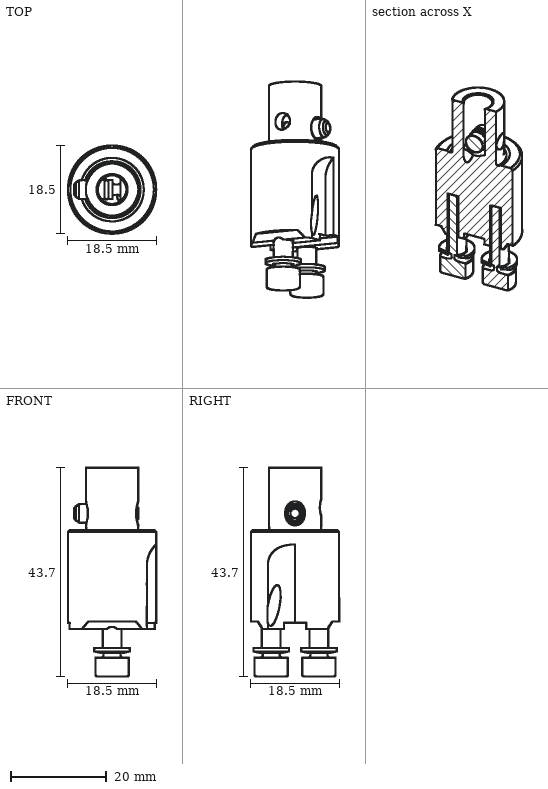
import cadquery as cq
import math


housing_radius = 18.5 / 2
housing_height = 20.8
housing_chamfer = 0.5
stem_radius = 11.0 / 2
stem_height = 13.0

undercut_radius = 5.44
undercut_top = 0.7
undercut_taper_height = 0.2
undercut_depth = 0.25
undercut_floor_radius = 5.95
undercut_rim_radius = 6.65
undercut_fillet = undercut_floor_radius - undercut_radius

bore_radius = 3.0
bore_chamfer = 0.25
drill_point_angle = 118.0
drill_point_depth = bore_radius / math.tan(math.radians(drill_point_angle / 2))

pin_radius = 2.0
pin_z = 3.45
pin_hole_chamfer = 0.5
bore_floor_z = pin_z - pin_radius
side_hole_radius = 1.75
side_hole_z = 4.65

pocket_flat_x = 7.28
pocket_runout_radius = 6.0
pocket_runout_z = -7.5

channel_radius = 1.22
channel_angle = 148.5
channel_lean = 19.2
channel_start_z = -15.85
channel_start_radius = pocket_flat_x / abs(math.cos(math.radians(channel_angle)))
channel_reach_radius = 2.2
channel_overrun = 6.0

slot_width = 4.6
slot_depth = 1.35
relief_depth = 1.6
relief_inner_y = 6.8
relief_outer_y = 7.8

screw_spacing = 10.0
screw_radius = 2.0
screw_clearance = 0.12
screw_hole_radius = screw_radius + screw_clearance
screw_length = 16.0
neck_radius = 1.8
neck_fillet = 0.4
head_radius = 3.5
head_height = 4.0
head_top_edge = 0.1
head_bottom_edge = 0.4
head_top_z = -26.7
screw_end_z = head_top_z + screw_length

washer_top_z = -24.72
washer_outer_radius = 3.75
washer_inner_radius = 2.15
washer_thickness = 0.72
washer_dish = 0.36
neck_top_z = washer_top_z - washer_thickness

pin_left_x = -7.95
pin_right_x = 5.55
tip_flat_radius = 1.0
tip_round_radius = 1.5
tip_round_length = 0.4
tip_cone_radius = 1.92
tip_cone_length = 1.05
tip_length = 1.35
waist_left_x = 0.07
waist_right_x = 1.75
waist_radius = 1.12
waist_fillet = 0.4
ring_x = -1.15
ring_wire_radius = 0.42
ring_center_radius = 1.62
ring_groove_half_width = ring_wire_radius
ring_groove_radius = ring_center_radius - ring_wire_radius

screw_positions = [(0, side * screw_spacing / 2) for side in (-1, 1)]


def turned_about_z(profile):
    """Revolve a profile whose points are (radius, z)."""
    return profile.close().revolve(360, (0, 0, 0), (0, 1, 0))


def turned_about_pin(profile):
    """Revolve a profile whose points are (x, radius) about the pin axis."""
    return profile.close().revolve(360, (0, 0, 0), (1, 0, 0)).translate((0, 0, pin_z))


def holder_blank():
    profile = (
        cq.Workplane("XZ")
        .moveTo(0, -housing_height)
        .lineTo(housing_radius, -housing_height)
        .lineTo(housing_radius, -housing_chamfer)
        .lineTo(housing_radius - housing_chamfer, 0)
        .lineTo(undercut_rim_radius, 0)
        .lineTo(undercut_floor_radius, -undercut_depth)
        .radiusArc((undercut_radius, undercut_fillet - undercut_depth), undercut_fillet)
        .lineTo(undercut_radius, undercut_top - undercut_taper_height)
        .lineTo(stem_radius, undercut_top)
        .lineTo(stem_radius, stem_height)
        .lineTo(0, stem_height)
    )
    return turned_about_z(profile)


def bore():
    profile = (
        cq.Workplane("XZ")
        .moveTo(0, bore_floor_z - drill_point_depth)
        .lineTo(bore_radius, bore_floor_z)
        .lineTo(bore_radius, stem_height - bore_chamfer)
        .lineTo(bore_radius + bore_chamfer, stem_height)
        .lineTo(0, stem_height)
    )
    return turned_about_z(profile)


def pin_hole():
    """Through hole along X, countersunk where it leaves the stem on both sides."""
    wide_radius = pin_radius + 2 * pin_hole_chamfer
    wide_x = stem_radius + pin_hole_chamfer
    narrow_x = stem_radius - pin_hole_chamfer
    profile = (
        cq.Workplane("XY")
        .moveTo(-wide_x, 0)
        .lineTo(-wide_x, wide_radius)
        .lineTo(-narrow_x, pin_radius)
        .lineTo(narrow_x, pin_radius)
        .lineTo(wide_x, wide_radius)
        .lineTo(wide_x, 0)
    )
    return turned_about_pin(profile)


def side_hole():
    """Radial hole through the +Y wall of the stem into the bore."""
    return (
        cq.Workplane("XZ", origin=(0, 0, side_hole_z))
        .circle(side_hole_radius)
        .extrude(-housing_radius)
    )


def side_pocket():
    """Pocket on the +X side, covering only the -Y half, with a round run-out at its top."""
    outer_x = pocket_flat_x + pocket_runout_radius
    return (
        cq.Workplane("XZ")
        .moveTo(pocket_flat_x, -housing_height)
        .lineTo(pocket_flat_x, pocket_runout_z)
        .radiusArc((outer_x, pocket_runout_z + pocket_runout_radius), pocket_runout_radius)
        .lineTo(outer_x, -housing_height)
        .close()
        .extrude(housing_radius)
    )


def channel():
    """Inclined channel that enters at the +X pocket flat and climbs toward the Z axis."""
    lean = math.radians(channel_lean)
    heading = math.radians(channel_angle + 180)
    direction = cq.Vector(
        -math.sin(lean) * math.cos(heading),
        -math.sin(lean) * math.sin(heading),
        math.cos(lean),
    )
    entry = cq.Vector(
        channel_start_radius * math.cos(heading),
        channel_start_radius * math.sin(heading),
        channel_start_z,
    )
    length = (channel_start_radius - channel_reach_radius) / math.sin(lean)
    return cq.Workplane(
        cq.Solid.makeCylinder(
            channel_radius,
            length + channel_overrun,
            entry - direction * channel_overrun,
            direction,
        )
    )


def bottom_slot():
    return (
        cq.Workplane("XY")
        .workplane(offset=-housing_height)
        .rect(2 * housing_radius, slot_width)
        .extrude(slot_depth)
    )


def edge_relief():
    """Step with a sloped wall along the -Y edge of the bottom face."""
    step_z = relief_depth - housing_height
    return (
        cq.Workplane("YZ")
        .moveTo(-relief_inner_y, -housing_height)
        .lineTo(-relief_outer_y, step_z)
        .lineTo(-housing_radius, step_z)
        .lineTo(-housing_radius, -housing_height)
        .close()
        .extrude(housing_radius, both=True)
    )


def screw_holes():
    return (
        cq.Workplane("XY")
        .workplane(offset=-housing_height)
        .pushPoints(screw_positions)
        .circle(screw_hole_radius)
        .extrude(housing_height + screw_end_z)
    )


def make_holder():
    body = holder_blank().cut(bore()).cut(pin_hole()).cut(side_hole())
    for turn in (0, 180):
        for feature in (side_pocket(), channel(), edge_relief()):
            body = body.cut(feature.rotate((0, 0, 0), (0, 0, 1), turn))
    return body.cut(bottom_slot()).cut(screw_holes())


def make_screw(position):
    head_bottom_z = head_top_z - head_height
    profile = (
        cq.Workplane("XZ")
        .moveTo(0, head_bottom_z)
        .lineTo(head_radius - head_bottom_edge, head_bottom_z)
        .radiusArc((head_radius, head_bottom_z + head_bottom_edge), -head_bottom_edge)
        .lineTo(head_radius, head_top_z - head_top_edge)
        .lineTo(head_radius - head_top_edge, head_top_z)
        .lineTo(neck_radius + neck_fillet, head_top_z)
        .radiusArc((neck_radius, head_top_z + neck_fillet), neck_fillet)
        .lineTo(neck_radius, neck_top_z)
        .lineTo(screw_radius, neck_top_z)
        .lineTo(screw_radius, screw_end_z)
        .lineTo(0, screw_end_z)
    )
    return turned_about_z(profile).translate((*position, 0))


def make_washer(position):
    """Dished spring washer whose outer rim is the higher one."""
    profile = (
        cq.Workplane("XZ")
        .moveTo(washer_outer_radius, washer_top_z)
        .lineTo(washer_outer_radius, washer_top_z - washer_thickness)
        .lineTo(washer_inner_radius, washer_top_z - washer_thickness - washer_dish)
        .lineTo(washer_inner_radius, washer_top_z - washer_dish)
    )
    return turned_about_z(profile).translate((*position, 0))


def make_pin():
    profile = (
        cq.Workplane("XY")
        .moveTo(pin_left_x, 0)
        .lineTo(pin_left_x, tip_flat_radius)
        .lineTo(pin_left_x + tip_round_length, tip_round_radius)
        .lineTo(pin_left_x + tip_cone_length, tip_cone_radius)
        .lineTo(pin_left_x + tip_length, pin_radius)
        .lineTo(ring_x - ring_groove_half_width, pin_radius)
        .lineTo(ring_x - ring_groove_half_width, ring_groove_radius)
        .lineTo(ring_x + ring_groove_half_width, ring_groove_radius)
        .lineTo(ring_x + ring_groove_half_width, pin_radius)
        .lineTo(waist_left_x, pin_radius)
        .lineTo(waist_left_x, waist_radius + waist_fillet)
        .radiusArc((waist_left_x + waist_fillet, waist_radius), -waist_fillet)
        .lineTo(waist_right_x - waist_fillet, waist_radius)
        .radiusArc((waist_right_x, waist_radius + waist_fillet), -waist_fillet)
        .lineTo(waist_right_x, pin_radius)
        .lineTo(pin_right_x - tip_length, pin_radius)
        .lineTo(pin_right_x - tip_cone_length, tip_cone_radius)
        .lineTo(pin_right_x - tip_round_length, tip_round_radius)
        .lineTo(pin_right_x, tip_flat_radius)
        .lineTo(pin_right_x, 0)
    )
    return turned_about_pin(profile)


def make_ring():
    """Round-section ring seated in the groove of the pin."""
    center = cq.Vector(ring_x, 0, pin_z)
    axis = cq.Vector(1, 0, 0)
    return cq.Workplane(cq.Solid.makeTorus(ring_center_radius, ring_wire_radius, center, axis))


holder = make_holder()
pin = make_pin()
ring = make_ring()
screws = [make_screw(position) for position in screw_positions]
washers = [make_washer(position) for position in screw_positions]

result = cq.Compound.makeCompound(
    [
        holder.val(),
        pin.val(),
        ring.val(),
        *[screw.val() for screw in screws],
        *[washer.val() for washer in washers],
    ]
)